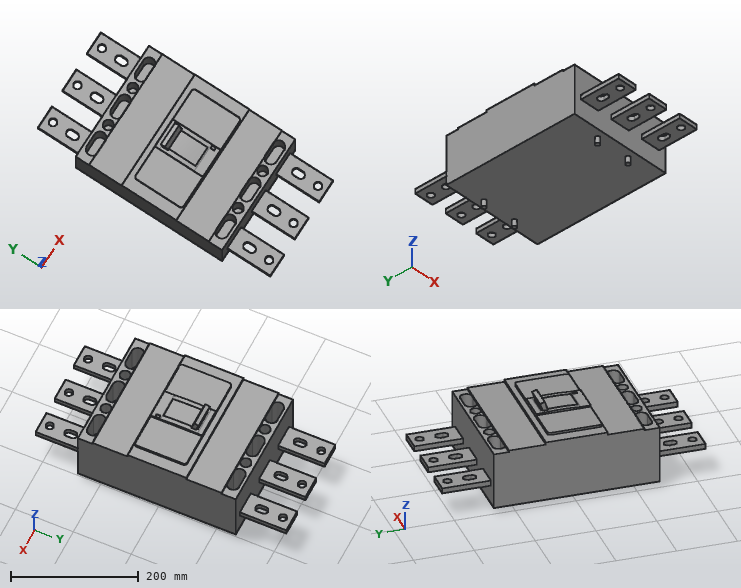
import cadquery as cq

import math

housing_width = 210.0
housing_length = 273.0
housing_height = 96.5
cover_length = 223.0
cover_top = 99.0
panel_length = 101.8
panel_top = 103.0

plate_width = 169.7
plate_front = -49.0
plate_back = 40.5
plate_corner_radius = 5.0
plate_top = 107.0

band_width = 51.0
band_top = 109.5
crown_half_length = 32.0
crown_rise = 1.5
crown_top = band_top + crown_rise

slider_width = 35.0
slider_length = 59.8
slider_rise = 0.5

handle_width = 40.5
handle_thickness = 8.2
handle_lean = 20.0
handle_front_y = 25.0
handle_peak = 126.0
handle_foot_z = 110.5

indicator_width = 5.0
indicator_length = 6.5
indicator_depth = 1.0
indicator_x = 21.5
indicator_y = -37.5

pole_pitch = 70.0
pole_positions = [-pole_pitch, 0, pole_pitch]
overall_length = 433.0
terminal_width = 40.0
terminal_thickness = 9.0
front_terminal_z = 36.5
back_terminal_z = 32.5
terminal_hole_diameter = 13.0
terminal_hole_y = 201.5
terminal_slot_length = 21.2
terminal_slot_y = 165.0

well_length = 42.0
well_width = 20.5
ledge_y = 121.0

screw_positions = [(x, y) for x in (-pole_pitch / 2, pole_pitch / 2) for y in (-ledge_y, ledge_y)]
screw_head_diameter = 17.5
screw_head_height = 8.5
screw_head_rounding = 6.5
screw_shank_diameter = 8.5
screw_seat_z = 43.5
screw_protrusion = 13.0


def block(width, length, bottom, top, y=0):
    """Box centred on X = 0 and on the given Y, between two heights."""
    return cq.Workplane("XY", origin=(0, y, bottom)).rect(width, length).extrude(top - bottom)


def make_base():
    base = block(housing_width, housing_length, 0, housing_height)
    cover = block(housing_width, cover_length, 0, cover_top)
    panel = block(housing_width, panel_length, 0, panel_top)
    return base.union(cover).union(panel)


def make_plate():
    length = plate_back - plate_front
    middle = (plate_back + plate_front) / 2
    plate = block(plate_width, length, panel_top, plate_top, middle).edges("|Z").fillet(plate_corner_radius)
    band = block(band_width, length, panel_top, band_top, middle)
    return plate.union(band)


def make_arch(width, rise):
    """Crown-shaped segment lying on the band, lifted by `rise`."""
    return (
        cq.Workplane("YZ")
        .moveTo(-crown_half_length, plate_top)
        .lineTo(-crown_half_length, band_top + rise)
        .threePointArc((0, crown_top + rise), (crown_half_length, band_top + rise))
        .lineTo(crown_half_length, plate_top)
        .close()
        .extrude(width / 2, both=True)
    )


def make_slider():
    footprint = block(slider_width, slider_length, plate_top, handle_peak)
    return make_arch(slider_width, slider_rise).intersect(footprint)


def make_handle():
    lean = math.radians(handle_lean)
    tip_back_y = handle_front_y + handle_thickness * math.cos(lean)
    tip_back_z = handle_peak - handle_thickness * math.sin(lean)
    foot_front_y = handle_front_y - (handle_peak - handle_foot_z) * math.tan(lean)
    foot_back_y = tip_back_y - (tip_back_z - handle_foot_z) * math.tan(lean)
    return (
        cq.Workplane("YZ")
        .polyline([
            (foot_front_y, handle_foot_z),
            (handle_front_y, handle_peak),
            (tip_back_y, tip_back_z),
            (foot_back_y, handle_foot_z),
        ])
        .close()
        .extrude(handle_width / 2, both=True)
    )


def make_indicator():
    recess = block(indicator_width, indicator_length, band_top - indicator_depth, band_top)
    return recess.translate((indicator_x, indicator_y, 0))


def make_terminal(x, end, bottom):
    """Drilled and slotted bar at one end of a pole; `end` is -1 for -Y and 1 for +Y."""
    length = (overall_length - housing_length) / 2
    middle = end * (overall_length + housing_length) / 4
    bar = block(terminal_width, length, bottom, bottom + terminal_thickness, middle)
    hole = (
        cq.Workplane("XY", origin=(0, 0, bottom))
        .center(0, end * terminal_hole_y)
        .circle(terminal_hole_diameter / 2)
        .extrude(terminal_thickness)
    )
    slot = (
        cq.Workplane("XY", origin=(0, 0, bottom))
        .center(0, end * terminal_slot_y)
        .slot2D(terminal_slot_length, terminal_hole_diameter, 90)
        .extrude(terminal_thickness)
    )
    return bar.cut(hole).cut(slot).translate((x, 0, 0))


def make_well(x, end, floor):
    """Round-ended well in the ledge, its inner side reaching slightly under the cover."""
    return (
        cq.Workplane("XY", origin=(x, end * ledge_y, floor))
        .slot2D(well_length, well_width)
        .extrude(housing_height - floor)
    )


def make_screw_hole(x, y):
    clearance = (
        cq.Workplane("XY", origin=(x, y, screw_seat_z))
        .circle(screw_head_diameter / 2)
        .extrude(housing_height - screw_seat_z)
    )
    bore = cq.Workplane("XY", origin=(x, y, 0)).circle(screw_shank_diameter / 2).extrude(screw_seat_z)
    return clearance.union(bore)


def make_screw(x, y):
    """Dome-headed screw, seated in the housing and standing out below it."""
    head = (
        cq.Workplane("XY", origin=(x, y, screw_seat_z))
        .circle(screw_head_diameter / 2)
        .extrude(screw_head_height)
        .faces(">Z")
        .edges()
        .fillet(screw_head_rounding)
    )
    shank = (
        cq.Workplane("XY", origin=(x, y, -screw_protrusion))
        .circle(screw_shank_diameter / 2)
        .extrude(screw_protrusion + screw_seat_z)
    )
    return head.union(shank)


def make_housing():
    housing = make_base().union(make_plate()).union(make_arch(band_width, 0))
    housing = housing.union(make_slider()).union(make_handle()).cut(make_indicator())
    for x in pole_positions:
        for end, terminal_z in ((-1, front_terminal_z), (1, back_terminal_z)):
            housing = housing.union(make_terminal(x, end, terminal_z))
            housing = housing.cut(make_well(x, end, terminal_z + terminal_thickness))
    for x, y in screw_positions:
        housing = housing.cut(make_screw_hole(x, y))
    return housing


housing = make_housing()
screws = [make_screw(x, y) for x, y in screw_positions]

result = cq.Compound.makeCompound([housing.val(), *[screw.val() for screw in screws]])